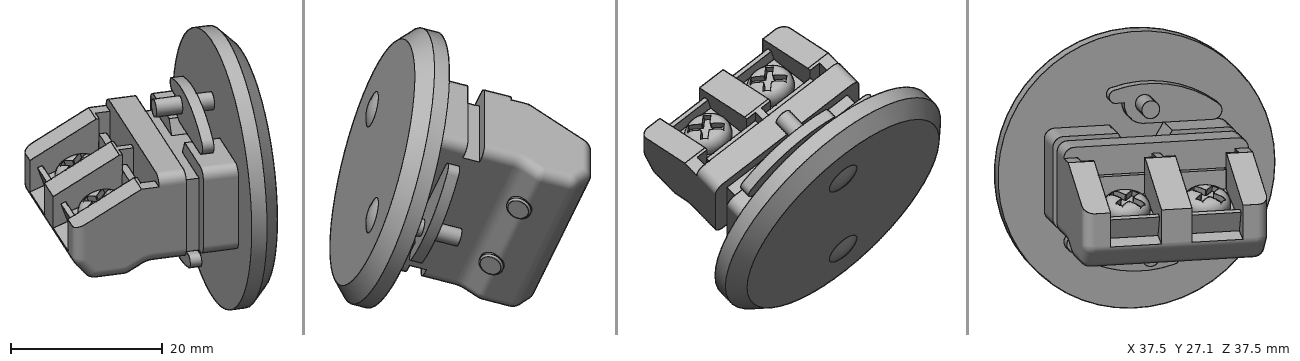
import cadquery as cq
import math

PLATE_RADIUS = 18.75
PLATE_DEPTH = 4.12
PLATE_CHAMFER = 2.02

PIN_RADIUS = 1.2
PIN_LENGTH = 7.95
PIN_OFFSET = 10.0
PIN_HEAD_RADIUS = 2.4
PIN_HEAD_HEIGHT = 0.6
CLAW_START = 2.78
CLAW_THICKNESS = 1.58
CLAW_HUB_RADIUS = 2.7
CLAW_HOOK_CENTER = (-3.85, 1.12)
CLAW_HOOK_RADIUS = 0.9
CLAW_TIP_REACH = 9.3
CLAW_TIP_RADIUS = 1.2
CLAW_BACK_RADIUS = 15.9

HALF_WIDTH = 12.5
HALF_HEIGHT = 6.25
EDGE_RADIUS = 1.42
BEND_RADIUS = 1.5
HOLLOW_RADIUS = 2.85
BASE_DEPTH = 4.8
BASE_NOTCH_TOP_HALF = 3.68
BASE_NOTCH_FLOOR_HALF = 2.5
NECK_HALF_WIDTH = 10.45
NECK_TOP = 4.3
BLOCK_START = -7.12
FLANGE_FRONT = -10.88
WALL_TOP = HALF_HEIGHT - EDGE_RADIUS
WALL_TOP_FRONT = -13.28
FRONT = -22.35
FRONT_TOP = 0.0
BELLY_BOTTOM = -7.75
BELLY_BACK = -15.1
BELLY_FRONT = -20.1
FRONT_BOTTOM = -5.02
BELLY_SLOPE = math.atan2(WALL_TOP - FRONT_TOP, WALL_TOP_FRONT - FRONT)

TILT = 19.0
CHANNEL_INNER = 2.05
CHANNEL_OUTER = 8.95
CHANNEL_BACK = -12.98
SEAT_BACK_Z = -0.05
LIP_FOOT = -20.1
LIP_TOP_Z = -0.98
LIP_FRONT = -21.3
UNDERCUT_Z = -3.95
POCKET_INNER = 0.52
POCKET_OUTER = 10.65
LEDGE_OUTER = 9.08
LEDGE_BACK = -11.8
LEDGE_FRONT = -12.85
LEDGE_TOP = 2.55

SCREW_X = 5.45
SCREW_Y = -16.58
HEAD_RADIUS = 3.15
HEAD_HEIGHT = 2.0
HEAD_ROUNDING = 1.5
SHANK_RADIUS = 1.7
SHANK_LENGTH = 6.98
SHANK_CHAMFER = 0.25
SLOT_WIDTH = 1.05
SLOT_LENGTHS = (4.88, 4.05)
SLOT_DEPTH = 0.9
SLOT_HUB_RADIUS = 0.82

SLOPE = math.tan(math.radians(TILT))


def seat_z(y):
    """Height of the tilted screw seat at depth y."""
    return SEAT_BACK_Z + (y - CHANNEL_BACK) * SLOPE


def box(x0, x1, y0, y1, z0, z1):
    return cq.Workplane("XY").box(x1 - x0, y1 - y0, z1 - z0, centered=False).translate((x0, y0, z0))


def side_prism(points, x0, x1):
    """Extrude a closed (y, z) outline from x0 to x1."""
    return cq.Workplane("YZ").workplane(offset=x0).polyline(points).close().extrude(x1 - x0)


def on_circle(center, radius, angle):
    return center[0] + radius * math.cos(angle), center[1] + radius * math.sin(angle)


def make_plate():
    disc = cq.Workplane("XZ").circle(PLATE_RADIUS).extrude(-PLATE_DEPTH)
    return disc.faces(">Y").chamfer(PLATE_CHAMFER)


def make_pin():
    """Pin on the Y axis with a spherical head on the far side of the plate."""
    sphere = (PIN_HEAD_RADIUS**2 + PIN_HEAD_HEIGHT**2) / (2 * PIN_HEAD_HEIGHT)
    head_top = PLATE_DEPTH + PIN_HEAD_HEIGHT
    half_angle = math.asin(PIN_HEAD_RADIUS / sphere) / 2
    arc_middle = on_circle((0, head_top - sphere), sphere, math.pi / 2 - half_angle)
    head = (
        cq.Workplane("XY")
        .moveTo(0, PLATE_DEPTH)
        .lineTo(PIN_HEAD_RADIUS, PLATE_DEPTH)
        .threePointArc(arc_middle, (0, head_top))
        .close()
        .revolve(360, (0, 0, 0), (0, 1, 0))
    )
    shank = cq.Workplane("XZ").circle(PIN_RADIUS).extrude(PIN_LENGTH + PLATE_DEPTH)
    return shank.translate((0, PLATE_DEPTH, 0)).union(head)


def claw_back_center(hook, tip):
    """Center of the back arc that is tangent to the hook and tip circles."""
    to_hook = CLAW_BACK_RADIUS - CLAW_HOOK_RADIUS
    to_tip = CLAW_BACK_RADIUS - CLAW_TIP_RADIUS
    dx, dz = tip[0] - hook[0], tip[1] - hook[1]
    span = math.hypot(dx, dz)
    along = (to_hook**2 - to_tip**2 + span**2) / (2 * span)
    below = math.sqrt(to_hook**2 - along**2)
    return (
        hook[0] + (along * dx + below * dz) / span,
        hook[1] + (along * dz - below * dx) / span,
    )


def make_claw():
    """Claw around the Y axis: hub arc, short hook on one side, long tip on the other."""
    hook = CLAW_HOOK_CENTER
    tip = (CLAW_TIP_REACH, CLAW_TIP_RADIUS - CLAW_HUB_RADIUS)
    back = claw_back_center(hook, tip)
    hook_angle = math.atan2(hook[1] - back[1], hook[0] - back[0])
    tip_angle = math.atan2(tip[1] - back[1], tip[0] - back[0])
    hook_foot = hook[1] - CLAW_HOOK_RADIUS
    hub_angle = math.pi - math.asin(hook_foot / CLAW_HUB_RADIUS)
    hub_middle = (hub_angle + 1.5 * math.pi) / 2
    outline = (
        cq.Workplane("XZ", origin=(0, -CLAW_START, 0))
        .moveTo(0, -CLAW_HUB_RADIUS)
        .lineTo(tip[0], tip[1] - CLAW_TIP_RADIUS)
        .threePointArc(
            on_circle(tip, CLAW_TIP_RADIUS, (tip_angle - math.pi / 2) / 2),
            on_circle(tip, CLAW_TIP_RADIUS, tip_angle),
        )
        .threePointArc(
            on_circle(back, CLAW_BACK_RADIUS, (tip_angle + hook_angle) / 2),
            on_circle(back, CLAW_BACK_RADIUS, hook_angle),
        )
        .threePointArc(
            on_circle(hook, CLAW_HOOK_RADIUS, (hook_angle + 1.5 * math.pi) / 2),
            (hook[0], hook_foot),
        )
        .lineTo(*on_circle((0, 0), CLAW_HUB_RADIUS, hub_angle))
        .threePointArc(on_circle((0, 0), CLAW_HUB_RADIUS, hub_middle), (0, -CLAW_HUB_RADIUS))
        .close()
    )
    return outline.extrude(CLAW_THICKNESS)


def make_base():
    """Rounded base block and the narrower neck that carries the terminal block."""
    base = box(-HALF_WIDTH, HALF_WIDTH, -BASE_DEPTH, 0, -HALF_HEIGHT, HALF_HEIGHT)
    base = base.edges("|Y").fillet(EDGE_RADIUS)
    notch = (
        cq.Workplane("XZ")
        .polyline([
            (-BASE_NOTCH_FLOOR_HALF, NECK_TOP),
            (BASE_NOTCH_FLOOR_HALF, NECK_TOP),
            (BASE_NOTCH_TOP_HALF, HALF_HEIGHT),
            (-BASE_NOTCH_TOP_HALF, HALF_HEIGHT),
        ])
        .close()
        .extrude(BASE_DEPTH)
    )
    neck = box(-NECK_HALF_WIDTH, NECK_HALF_WIDTH, BLOCK_START, -BASE_DEPTH, -HALF_HEIGHT, NECK_TOP)
    return base.cut(notch).union(neck)


def make_block():
    """Terminal block without its channels: full-height flange and sloped nose."""
    belly_rise = -HALF_HEIGHT - BELLY_BOTTOM
    slope_start = BELLY_BACK + belly_rise / math.tan(BELLY_SLOPE)
    nose = side_prism(
        [
            (BLOCK_START, WALL_TOP),
            (WALL_TOP_FRONT, WALL_TOP),
            (FRONT, FRONT_TOP),
            (FRONT, FRONT_BOTTOM),
            (BELLY_FRONT, BELLY_BOTTOM),
            (BELLY_BACK, BELLY_BOTTOM),
            (slope_start, -HALF_HEIGHT),
            (BLOCK_START, -HALF_HEIGHT),
        ],
        -HALF_WIDTH,
        HALF_WIDTH,
    )
    hollow = cq.selectors.NearestToPointSelector((0, slope_start, -HALF_HEIGHT))
    nose = nose.edges("|X").edges(hollow).fillet(HOLLOW_RADIUS)
    for bend in ((BELLY_BACK, BELLY_BOTTOM), (BELLY_FRONT, BELLY_BOTTOM), (FRONT, FRONT_BOTTOM)):
        corner = cq.selectors.NearestToPointSelector((0, *bend))
        nose = nose.edges("|X").edges(corner).fillet(BEND_RADIUS)
    nose = nose.faces("<Z").edges("|Y").fillet(EDGE_RADIUS)
    flange = box(-HALF_WIDTH, HALF_WIDTH, FLANGE_FRONT, BLOCK_START, 0, HALF_HEIGHT)
    flange = flange.edges("|Y and >Z").fillet(EDGE_RADIUS)
    return nose.union(flange)


def channel_cut():
    """Open channel of the +X terminal with its tilted seat, front lip and rear pocket."""
    lip_rear = LIP_FOOT - (LIP_TOP_Z - seat_z(LIP_FOOT)) * SLOPE
    lip_front_z = LIP_TOP_Z + (LIP_FRONT - lip_rear) * SLOPE
    undercut_y = LIP_FRONT + (lip_front_z - UNDERCUT_Z) * SLOPE
    channel = side_prism(
        [
            (LEDGE_FRONT, WALL_TOP),
            (LEDGE_FRONT, LEDGE_TOP),
            (CHANNEL_BACK, SEAT_BACK_Z),
            (LIP_FOOT, seat_z(LIP_FOOT)),
            (lip_rear, LIP_TOP_Z),
            (LIP_FRONT, lip_front_z),
            (undercut_y, UNDERCUT_Z),
            (FRONT, UNDERCUT_Z + (FRONT - undercut_y) * SLOPE),
            (FRONT, WALL_TOP),
        ],
        CHANNEL_INNER,
        CHANNEL_OUTER,
    )
    pocket = side_prism(
        [
            (FLANGE_FRONT, WALL_TOP),
            (FLANGE_FRONT, seat_z(FLANGE_FRONT)),
            (LEDGE_FRONT, seat_z(LEDGE_FRONT)),
            (LEDGE_FRONT, WALL_TOP),
        ],
        POCKET_INNER,
        POCKET_OUTER,
    )
    ledge = side_prism(
        [
            (LEDGE_BACK, LEDGE_TOP),
            (LEDGE_FRONT, LEDGE_TOP),
            (CHANNEL_BACK, SEAT_BACK_Z),
            (LEDGE_BACK, SEAT_BACK_Z),
        ],
        POCKET_INNER,
        LEDGE_OUTER,
    )
    return channel.union(pocket).cut(ledge)


def make_screw():
    """Cross-slotted screw, built upright on the seat."""
    head = cq.Workplane("XY").circle(HEAD_RADIUS).extrude(HEAD_HEIGHT)
    head = head.faces(">Z").edges().fillet(HEAD_ROUNDING)
    for length, angle in zip(SLOT_LENGTHS, (-45, 45)):
        slot = cq.Workplane("XY").box(length, SLOT_WIDTH, SLOT_DEPTH, centered=(True, True, False))
        slot = slot.translate((0, 0, HEAD_HEIGHT - SLOT_DEPTH))
        head = head.cut(slot.rotate((0, 0, 0), (0, 0, 1), angle))
    slot_hub = cq.Workplane("XY", origin=(0, 0, HEAD_HEIGHT)).circle(SLOT_HUB_RADIUS).extrude(-SLOT_DEPTH)
    head = head.cut(slot_hub)
    shank = cq.Workplane("XY").circle(SHANK_RADIUS).extrude(-SHANK_LENGTH)
    shank = shank.faces("<Z").chamfer(SHANK_CHAMFER)
    return head.union(shank)


channel = channel_cut()
block = make_block().cut(channel).cut(channel.mirror("YZ"))
result = make_plate().union(make_base()).union(block)

screw = make_screw().rotate((0, 0, 0), (1, 0, 0), TILT)
for x in (-SCREW_X, SCREW_X):
    result = result.union(screw.translate((x, SCREW_Y, seat_z(SCREW_Y))))

clamp = make_pin().union(make_claw()).translate((0, 0, PIN_OFFSET))
for turn in (0, 180):
    result = result.union(clamp.rotate((0, 0, 0), (0, 1, 0), turn))